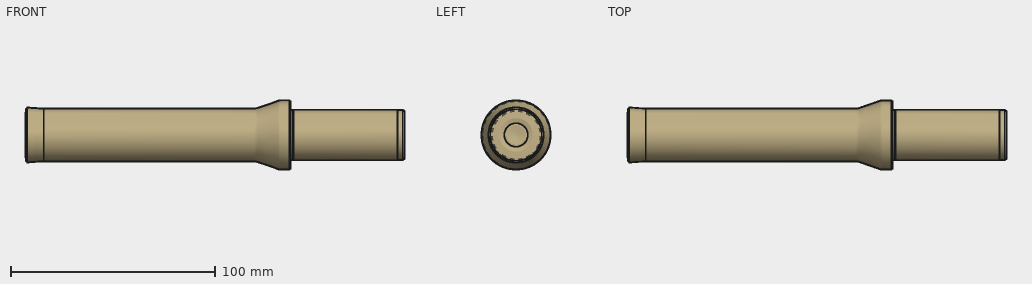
import cadquery as cq
import math


tip_length = 9.1
flare_break_x = 5.8
flare_break_radius = 13.2
rim_chamfer_end = 1.1
rim_radius = 13.5
rim_front_radius = 12.6
rim_front_x = 0.4
front_ring_radius = 11.5
front_ring_x = 0.2
crown_inner_radius = 7.8
crown_outer_radius = 8.2
crown_step = 0.1
dish_outer_radius = 5.8
dish_depth = 0.5
centre_cone_radius = 4.8
centre_cone_rim_x = 0.4
centre_cone_depth = 1.0

body_radius = 26.0 / 2
flange_radius = 34.0 / 2
cone_angle = math.radians(19.2)
body_end = 112.2
cone_start = 113.8
flange_start = 125.0
flange_end = 130.0
flange_chamfer = 0.5

spigot_radius = 25.0 / 2
neck_radius = 24.5 / 2
spigot_chamfer_start = 131.1
spigot_start = 131.7
spigot_end = 182.3
pilot_start = 182.7
overall_length = 186.0
end_chamfer_length = 1.1
end_chamfer_depth = 0.5

cone_corner_x = (body_end + cone_start) / 2
cone_start_radius = body_radius + (cone_start - cone_corner_x) * math.tan(cone_angle)
flange_corner_x = cone_corner_x + (flange_radius - body_radius) / math.tan(cone_angle)
blend_tangent = flange_start - flange_corner_x
cone_end = flange_corner_x - blend_tangent * math.cos(cone_angle)
cone_end_radius = flange_radius - blend_tangent * math.sin(cone_angle)


def revolve_about_x(profile):
    return profile.close().revolve(360, (0, 0, 0), (1, 0, 0))


def make_tip():
    """Tip flaring to the front in two slight cones, with a shallow stepped dish in its front face."""
    profile = (
        cq.Workplane("XY")
        .moveTo(tip_length, 0)
        .lineTo(tip_length, body_radius)
        .lineTo(flare_break_x, flare_break_radius)
        .lineTo(rim_chamfer_end, rim_radius)
        .lineTo(rim_front_x, rim_front_radius)
        .lineTo(front_ring_x, front_ring_radius)
        .lineTo(0, crown_outer_radius)
        .lineTo(crown_step, crown_inner_radius)
        .lineTo(dish_depth, dish_outer_radius)
        .lineTo(centre_cone_rim_x, centre_cone_radius)
        .lineTo(centre_cone_depth, 0)
    )
    return revolve_about_x(profile)


def make_shank():
    """Cylindrical body, conical flange and rear spigot in one piece."""
    profile = (
        cq.Workplane("XY")
        .moveTo(tip_length, 0)
        .lineTo(tip_length, body_radius)
        .lineTo(body_end, body_radius)
        .tangentArcPoint((cone_start, cone_start_radius), relative=False)
        .lineTo(cone_end, cone_end_radius)
        .tangentArcPoint((flange_start, flange_radius), relative=False)
        .lineTo(flange_end - flange_chamfer, flange_radius)
        .lineTo(flange_end, flange_radius - flange_chamfer)
        .lineTo(flange_end, neck_radius)
        .lineTo(spigot_chamfer_start, neck_radius)
        .lineTo(spigot_start, spigot_radius)
        .lineTo(spigot_end, spigot_radius)
        .lineTo(pilot_start, neck_radius)
        .lineTo(overall_length - end_chamfer_length, neck_radius)
        .lineTo(overall_length, neck_radius - end_chamfer_depth)
        .lineTo(overall_length, 0)
    )
    return revolve_about_x(profile)


tip = make_tip()
shank = make_shank()
result = cq.Compound.makeCompound([tip.val(), shank.val()])